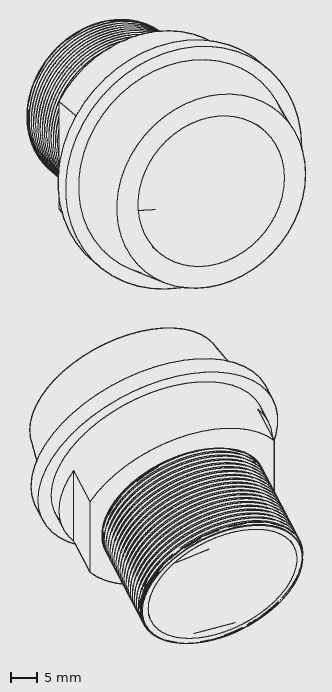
import cadquery as cq

thread_length = 20.0
thread_turns = 20
thread_root_radius = 16.45
thread_height = 0.45
ridge_overlap = 0.15
ridge_half_width = 0.45
bore_radius = 15.35
hub_radius = 22.05
hub_length = 12.05
flat_length = 8.1
flat_to_flat = 38.0
collar_radius = 24.75
collar_width = 3.45
nose_end_radius = 19.8
total_length = 48.0

pitch = thread_length / thread_turns
collar_start = thread_length + hub_length
nose_start = collar_start + collar_width


def cylinder(start, length, radius):
    """Solid cylinder along +X."""
    return cq.Workplane("YZ", origin=(start, 0, 0)).circle(radius).extrude(length)


def make_body():
    """Revolved thread core, hub, collar and tapered nose."""
    profile = [
        (0, 0),
        (0, thread_root_radius),
        (thread_length, thread_root_radius),
        (thread_length, hub_radius),
        (collar_start, hub_radius),
        (collar_start, collar_radius),
        (nose_start, collar_radius),
        (nose_start, hub_radius),
        (total_length, nose_end_radius),
        (total_length, 0),
    ]
    return cq.Workplane("XY").polyline(profile).close().revolve(360, (0, 0, 0), (1, 0, 0))


def make_thread_ridge():
    """Right-handed triangular ridge, trimmed flush with the free end and the hub face."""
    base_radius = thread_root_radius - ridge_overlap
    crest_radius = thread_root_radius + thread_height
    helix_length = thread_length + 2 * pitch
    path = cq.Wire.makeHelix(pitch, helix_length, base_radius)
    ridge = (
        cq.Workplane("XZ")
        .polyline([
            (base_radius, -ridge_half_width),
            (crest_radius, 0),
            (base_radius, ridge_half_width),
        ])
        .close()
        .sweep(cq.Workplane(obj=path), isFrenet=True)
        .rotate((0, 0, 0), (0, 1, 0), 90)
        .translate((-pitch, 0, 0))
    )
    return ridge.intersect(cylinder(0, thread_length, hub_radius))


def flat_cutter(side):
    """Block that leaves one wrench flat on the hub; side is +1 or -1 along Y."""
    depth = hub_radius
    return cq.Workplane("XY").box(flat_length, depth, 2 * hub_radius).translate(
        (thread_length + flat_length / 2, side * (flat_to_flat + depth) / 2, 0)
    )


body = make_body()
for side in (-1, 1):
    body = body.cut(flat_cutter(side))
body = body.cut(cylinder(0, total_length, bore_radius))
result = body.union(make_thread_ridge())